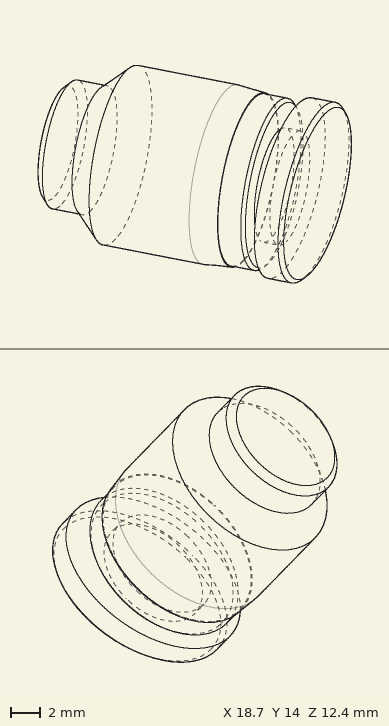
import cadquery as cq

nose_chamfer = 0.5
nose_end = 2.64
shoulder_end = 4.5
barrel_end = 11.7
taper_end = 13.69
housing_end = 15.58
flange_start = 16.7
total_length = 18.7

nose_diameter = 8.9
barrel_diameter = 12.4
taper_end_diameter = 12.05
rear_diameter = 11.9
stem_diameter = 7.9
flange_width = 13.99
flange_height = rear_diameter

rear_chamfer = 0.25
flange_chamfer = 0.3


def make_housing():
    """Closed turned housing: nose, conical shoulder, barrel, taper, small step and rear collar."""
    nose_radius = nose_diameter / 2
    barrel_radius = barrel_diameter / 2
    rear_radius = rear_diameter / 2
    return (
        cq.Workplane("XY")
        .moveTo(0, 0)
        .lineTo(0, nose_radius - nose_chamfer)
        .lineTo(nose_chamfer, nose_radius)
        .lineTo(nose_end, nose_radius)
        .lineTo(shoulder_end, barrel_radius)
        .lineTo(barrel_end, barrel_radius)
        .lineTo(taper_end, taper_end_diameter / 2)
        .lineTo(taper_end, rear_radius)
        .lineTo(housing_end - rear_chamfer, rear_radius)
        .lineTo(housing_end, rear_radius - rear_chamfer)
        .lineTo(housing_end, 0)
        .close()
        .revolve(360, (0, 0, 0), (1, 0, 0))
    )


def make_release_button():
    """Oval push flange on a round stem that meets the rear face of the housing."""
    flange = (
        cq.Workplane("YZ", origin=(flange_start, 0, 0))
        .ellipse(flange_width / 2, flange_height / 2)
        .extrude(total_length - flange_start)
        .faces(">X")
        .chamfer(flange_chamfer)
    )
    stem = (
        cq.Workplane("YZ", origin=(housing_end, 0, 0))
        .circle(stem_diameter / 2)
        .extrude(flange_start - housing_end)
    )
    return flange.union(stem)


housing = make_housing()
release_button = make_release_button()

result = cq.Compound.makeCompound([housing.val(), release_button.val()])